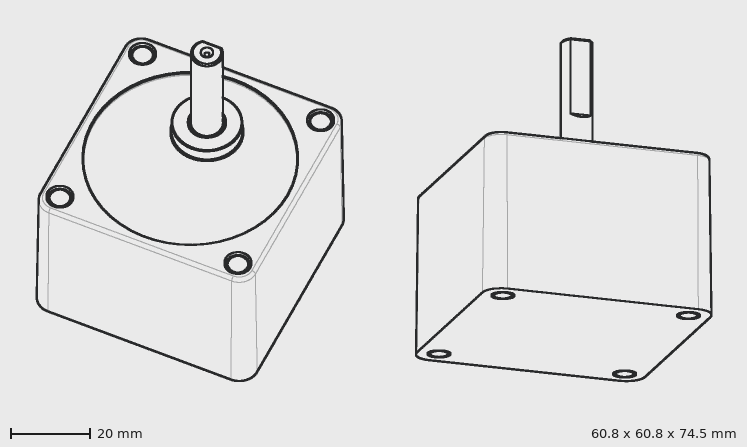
import cadquery as cq
import math

BASE_WIDTH = 60.8
BLOCK_HEIGHT = 41.95
SIDE_DRAFT = 0.5
CORNER_RADIUS = 5.0
TOP_FILLET = 1.0

RECESS_RADIUS = 27.2
RECESS_DEPTH = 0.9
RECESS_CHAMFER = 0.2
RECESS_FILLET = 0.15
RECESS_FLOOR = BLOCK_HEIGHT - RECESS_DEPTH

HOLE_SPACING = 49.5
HOLE_RADIUS = 2.9
HOLE_CHAMFER = 0.5
SLEEVE_HEIGHT = BLOCK_HEIGHT - HOLE_CHAMFER
SLEEVE_BORE_TOP = 2.6
SLEEVE_BORE_BOTTOM = 2.3

SHAFT_Y = 10.0
BOSS_RADIUS = 8.95
BOSS_TOP = 45.0
BOSS_CHAMFER = 0.2
BOSS_BASE_FLARE = 0.3

BUSHING_RADIUS = 4.55
BUSHING_LENGTH = 5.95
SEAT_CHAMFER = 0.3
BUSHING_TOP = BOSS_TOP - SEAT_CHAMFER
BUSHING_BOTTOM = BUSHING_TOP - BUSHING_LENGTH

SHAFT_TOP = 74.5
SHAFT_RADIUS = 4.0
SHAFT_CHAMFER = 0.45
FLAT_DISTANCE = 3.05
FLAT_LENGTH = 20.1
SINK_RADIUS = 1.6
PILOT_RADIUS = 0.7
SINK_DEPTH = SINK_RADIUS - PILOT_RADIUS
PILOT_DEPTH = 3.0


def cone(bottom_radius, top_radius, bottom, top):
    """Upright solid of revolution about Z whose radius changes evenly with height."""
    profile = [(0, bottom), (bottom_radius, bottom), (top_radius, top), (0, top)]
    return cq.Workplane("XZ").polyline(profile).close().revolve(360, (0, 0), (0, 1))


def cylinder(radius, bottom, top):
    return cq.Workplane("XY").workplane(offset=bottom).circle(radius).extrude(top - bottom)


def on_shaft_axis(shape):
    return shape.translate((0, SHAFT_Y, 0))


def corner_spots():
    half = HOLE_SPACING / 2
    return [(x, y, 0) for x in (-half, half) for y in (-half, half)]


def make_block():
    draft_angle = math.degrees(math.atan(SIDE_DRAFT / BLOCK_HEIGHT))
    outline = cq.Sketch().rect(BASE_WIDTH, BASE_WIDTH).vertices().fillet(CORNER_RADIUS)
    block = cq.Workplane("XY").placeSketch(outline).extrude(BLOCK_HEIGHT, taper=draft_angle)
    return block.faces(">Z").edges().fillet(TOP_FILLET)


def make_recess():
    wall_radius = RECESS_RADIUS - RECESS_CHAMFER
    pocket = cylinder(wall_radius, RECESS_FLOOR, BLOCK_HEIGHT).faces("<Z").edges().fillet(RECESS_FILLET)
    return pocket.union(cone(wall_radius, RECESS_RADIUS, BLOCK_HEIGHT - RECESS_CHAMFER, BLOCK_HEIGHT))


def make_boss():
    boss = cylinder(BOSS_RADIUS, RECESS_FLOOR, BOSS_TOP).faces(">Z").edges().chamfer(BOSS_CHAMFER)
    flare = cone(BOSS_RADIUS + BOSS_BASE_FLARE, BOSS_RADIUS, RECESS_FLOOR, RECESS_FLOOR + BOSS_BASE_FLARE)
    return on_shaft_axis(boss.union(flare))


def make_bushing_seat():
    seat = cylinder(BUSHING_RADIUS, BUSHING_BOTTOM, BOSS_TOP)
    chamfer = cone(BUSHING_RADIUS, BUSHING_RADIUS + SEAT_CHAMFER, BUSHING_TOP, BOSS_TOP)
    return on_shaft_axis(seat.union(chamfer))


def make_mounting_hole():
    hole = cylinder(HOLE_RADIUS, 0, BLOCK_HEIGHT)
    return hole.union(cone(HOLE_RADIUS, HOLE_RADIUS + HOLE_CHAMFER, SLEEVE_HEIGHT, BLOCK_HEIGHT))


def make_housing():
    housing = make_block().cut(make_recess()).union(make_boss()).cut(make_bushing_seat())
    for spot in corner_spots():
        housing = housing.cut(make_mounting_hole().translate(spot))
    return housing


def make_sleeve(spot):
    bore = cone(SLEEVE_BORE_BOTTOM, SLEEVE_BORE_TOP, 0, SLEEVE_HEIGHT)
    return cylinder(HOLE_RADIUS, 0, SLEEVE_HEIGHT).cut(bore).translate(spot)


def make_bushing():
    ring = cylinder(BUSHING_RADIUS, BUSHING_BOTTOM, BUSHING_TOP)
    return on_shaft_axis(ring.cut(cylinder(SHAFT_RADIUS, BUSHING_BOTTOM, BUSHING_TOP)))


def make_flat_cutter():
    """Material beyond the flat, ending in a 45 degree run-out at the bottom."""
    flat_bottom = SHAFT_TOP - FLAT_LENGTH
    outer = FLAT_DISTANCE + SHAFT_RADIUS
    profile = [
        (FLAT_DISTANCE, SHAFT_TOP),
        (FLAT_DISTANCE, flat_bottom),
        (outer, flat_bottom - SHAFT_RADIUS),
        (outer, SHAFT_TOP),
    ]
    return cq.Workplane("YZ").polyline(profile).close().extrude(SHAFT_RADIUS, both=True)


def make_centre_hole():
    pilot_bottom = SHAFT_TOP - PILOT_DEPTH
    pilot = cylinder(PILOT_RADIUS, pilot_bottom, SHAFT_TOP)
    return pilot.union(cone(PILOT_RADIUS, SINK_RADIUS, SHAFT_TOP - SINK_DEPTH, SHAFT_TOP))


def make_shaft():
    shaft = cylinder(SHAFT_RADIUS, BUSHING_BOTTOM, SHAFT_TOP).cut(make_flat_cutter())
    shaft = shaft.faces(">Z").edges().chamfer(SHAFT_CHAMFER)
    return on_shaft_axis(shaft.cut(make_centre_hole()))


housing = make_housing()
bushing = make_bushing()
shaft = make_shaft()
sleeves = [make_sleeve(spot) for spot in corner_spots()]

result = cq.Compound.makeCompound(
    [housing.val(), bushing.val(), shaft.val(), *[sleeve.val() for sleeve in sleeves]]
)